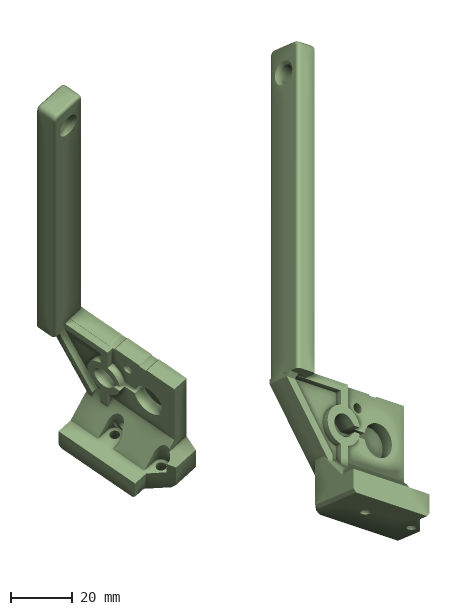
import cadquery as cq
import math

total_height = 156.5
total_width = 56.7
back_y = 22.0

arm_width = 8.0
arm_depth = 14.0
arm_bottom_z = 41.5
arm_side_radius = 1.3
arm_end_radius = 2.0
arm_hole_diameter = 6.5
countersink_diameter = 8.5
arm_hole_drop = 9.9

plate_front_y = 16.0
frame_front_y = 13.5
plate_right_x = 52.7
plate_top_z = 44.6
frame_top_z = 44.1
plate_step_z = 44.3
frame_bar_height = 2.8
brace_top_z = 39.9
brace_slope = 1.36
brace_run = 3.5
band_end_x = 19.7
rib_left_x = 23.3
rib_width = 3.0
groove_depth = plate_top_z - frame_top_z
groove_left_x = 24.5
groove_right_x = 27.4
notch_left_x = 37.5
notch_right_x = 41.0

foot_left_x = 16.9
foot_front_right_x = 49.8
foot_corner_y = 5.5
ledge_z = 8.0
ledge_depth = 6.0
foot_back_chamfer = 3.3
foot_bottom_chamfer = 1.1
shoulder_z = 14.1

boss_x = 24.5
clamp_z = 29.5
boss_diameter = 14.0
bore_diameter = 8.1
pocket_x = 41.6
pocket_diameter = 11.9
clamp_slot_height = 2.2
recess_floor_y = 20.5
screw_diameter = 3.5
head_diameter = 6.0
cross_screw_x = 32.7
cross_screw_zs = [10.5, 38.3]
cross_head_diameter = 6.5
foot_screw_xs = [31.6, 51.5]
foot_screw_y = 10.8


def box(x0, x1, y0, y1, z0, z1):
    return cq.Workplane("XY").box(x1 - x0, y1 - y0, z1 - z0, centered=False).translate((x0, y0, z0))


def prism_y(points, y0, y1):
    """Extrude an XZ outline from y0 back to y1."""
    return cq.Workplane("XZ", origin=(0, y0, 0)).polyline(points).close().extrude(y0 - y1)


def prism_x(points, x0, x1):
    """Extrude a YZ outline from x0 to x1."""
    return cq.Workplane("YZ", origin=(x0, 0, 0)).polyline(points).close().extrude(x1 - x0)


def cylinder_y(diameter, x, z, y0, y1):
    return cq.Workplane("XZ", origin=(x, y0, z)).circle(diameter / 2).extrude(y0 - y1)


def brace_z(x):
    """Height of the lower edge of the brace."""
    return brace_top_z - brace_slope * x


def slope_z(y):
    """Height of the 45 degree face that rises from the ledge to the plate."""
    return ledge_z + y - ledge_depth


def make_arm():
    front_y = back_y - arm_depth
    arm = box(0, arm_width, front_y, back_y, arm_bottom_z, total_height)
    arm = arm.edges(">Z and |X").fillet(arm_end_radius)
    arm = arm.faces("<X or >X").edges("not <Z").fillet(arm_side_radius)
    hole_y = back_y - arm_depth / 2
    hole_z = total_height - arm_hole_drop
    hole = cq.Workplane("YZ", origin=(0, hole_y, hole_z)).circle(arm_hole_diameter / 2).extrude(arm_width)
    arm = arm.cut(hole)
    flare = (countersink_diameter - arm_hole_diameter) / 2
    return arm.faces("<X or >X").edges(cq.selectors.RadiusNthSelector(-1)).chamfer(flare)


def make_plate():
    foot_x = foot_left_x + foot_back_chamfer
    outline = [
        (0, brace_top_z),
        (foot_x, brace_z(foot_x)),
        (foot_x, ledge_z),
        (plate_right_x, ledge_z),
        (plate_right_x, plate_top_z),
        (notch_right_x, plate_top_z),
        (notch_right_x - groove_depth, frame_top_z),
        (notch_left_x + groove_depth, frame_top_z),
        (notch_left_x, plate_top_z),
        (groove_right_x, plate_top_z),
        (groove_right_x - groove_depth, frame_top_z),
        (groove_left_x + groove_depth, frame_top_z),
        (groove_left_x, plate_step_z),
        (arm_width / 2, plate_step_z),
        (arm_width / 2, arm_bottom_z),
        (0, arm_bottom_z),
    ]
    return prism_y(outline, plate_front_y, back_y)


def make_frame():
    bar_bottom_z = frame_top_z - frame_bar_height
    rib_right_x = rib_left_x + rib_width
    band = [
        (0, brace_top_z),
        (0, bar_bottom_z),
        (brace_run - (bar_bottom_z - brace_top_z) / brace_slope, bar_bottom_z),
        (band_end_x, brace_z(band_end_x - brace_run)),
        (band_end_x, brace_z(band_end_x)),
    ]
    frame = prism_y(band, frame_front_y, plate_front_y)
    frame = frame.union(box(arm_width / 2, rib_right_x, frame_front_y, plate_front_y, bar_bottom_z, frame_top_z))
    rib_bottom_z = slope_z(frame_front_y)
    frame = frame.union(box(rib_left_x, rib_right_x, frame_front_y, plate_front_y, rib_bottom_z, frame_top_z))
    return frame.union(cylinder_y(boss_diameter, boss_x, clamp_z, frame_front_y, plate_front_y))


def make_arm_gusset():
    """Sloped underside joining the arm to the front of the brace."""
    size = arm_bottom_z - brace_top_z
    wedge = [
        (frame_front_y - size, arm_bottom_z),
        (frame_front_y, arm_bottom_z),
        (frame_front_y, brace_top_z),
    ]
    return prism_x(wedge, 0, brace_run)


def make_foot():
    corner_run = total_width - foot_front_right_x
    outline = [
        (foot_left_x, 0),
        (foot_front_right_x, 0),
        (foot_front_right_x, foot_corner_y),
        (total_width, foot_corner_y + corner_run),
        (total_width, back_y),
        (foot_left_x + foot_back_chamfer, back_y),
        (foot_left_x, back_y - foot_back_chamfer),
    ]
    foot = cq.Workplane("XY").polyline(outline).close().extrude(slope_z(plate_front_y))
    side_profile = [
        (0, 0),
        (back_y, 0),
        (back_y, slope_z(plate_front_y)),
        (plate_front_y, slope_z(plate_front_y)),
        (ledge_depth, ledge_z),
        (0, ledge_z),
    ]
    foot = foot.faces("<Z").edges("|Y or <(1, -1, 0)").chamfer(foot_bottom_chamfer)
    foot = foot.intersect(prism_x(side_profile, 0, total_width))
    shoulder_end_z = shoulder_z - (total_width - plate_right_x)
    front_profile = [
        (foot_left_x, 0),
        (total_width, 0),
        (total_width, shoulder_end_z),
        (plate_right_x, shoulder_z),
        (plate_right_x, total_height),
        (0, total_height),
        (0, brace_top_z),
        (foot_left_x, brace_z(foot_left_x)),
    ]
    return foot.intersect(prism_y(front_profile, 0, back_y))


def make_clamp_recess():
    """Teardrop bore joined to a round pocket by a narrow slot."""
    half_slot = clamp_slot_height / 2
    tangent = bore_diameter / 2 * math.sqrt(0.5)
    tip_x = boss_x + 2 * tangent
    tip = [
        (boss_x, clamp_z),
        (boss_x + tangent, clamp_z + tangent),
        (tip_x, clamp_z),
        (boss_x + tangent, clamp_z - tangent),
    ]
    recess = cylinder_y(bore_diameter, boss_x, clamp_z, frame_front_y, recess_floor_y)
    recess = recess.union(prism_y(tip, frame_front_y, recess_floor_y))
    recess = recess.union(cylinder_y(pocket_diameter, pocket_x, clamp_z, frame_front_y, recess_floor_y))
    slot = box(boss_x, pocket_x, frame_front_y, recess_floor_y, clamp_z - half_slot, clamp_z + half_slot)
    return recess.union(slot)


def make_foot_screw(x):
    """Vertical screw hole with a head slot open towards the ledge."""
    head_radius = head_diameter / 2
    top_z = slope_z(plate_front_y)
    hole = cq.Workplane("XY").center(x, foot_screw_y).circle(screw_diameter / 2).extrude(ledge_z)
    head = cq.Workplane("XY", origin=(x, foot_screw_y, ledge_z)).circle(head_radius).extrude(top_z - ledge_z)
    slot = box(x - head_radius, x + head_radius, ledge_depth, foot_screw_y, ledge_z, top_z)
    return hole.union(head).union(slot)


def make_cross_screws():
    """Holes from front to back; the lower one has a head recess above the ledge."""
    lower_z = cross_screw_zs[0]
    head_floor_y = foot_screw_y + head_diameter / 2
    cut = cylinder_y(cross_head_diameter, cross_screw_x, lower_z, ledge_depth, head_floor_y)
    cut = cut.intersect(box(0, total_width, 0, back_y, ledge_z, total_height))
    for z in cross_screw_zs:
        cut = cut.union(cylinder_y(screw_diameter, cross_screw_x, z, ledge_depth, back_y))
    return cut


result = make_plate().union(make_frame()).union(make_foot()).union(make_arm_gusset()).union(make_arm())
result = result.cut(make_clamp_recess()).cut(make_cross_screws())
for screw_x in foot_screw_xs:
    result = result.cut(make_foot_screw(screw_x))